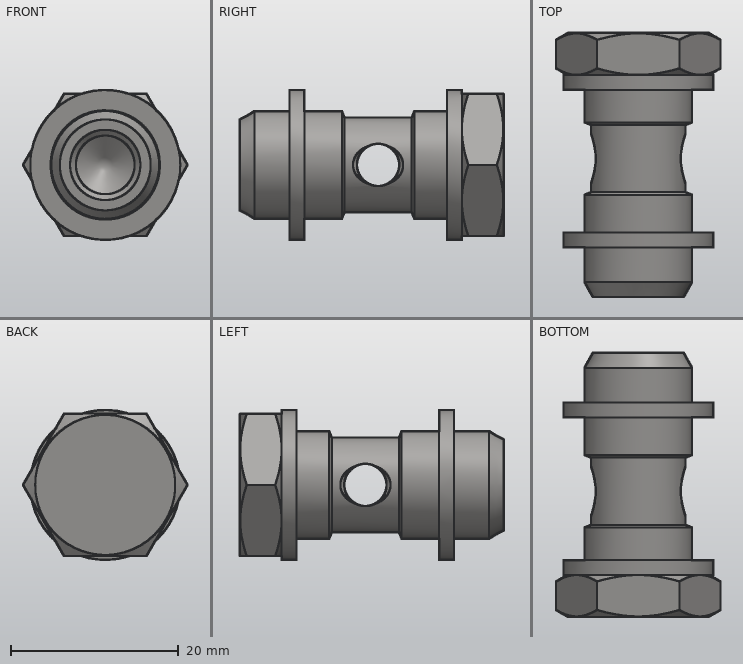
import cadquery as cq
import math

total_length = 31.5

head_height = 5.0
across_corners = 19.62
across_flats = across_corners * math.cos(math.radians(30))
head_top_diameter = 16.7
head_chamfer_angle = 30.0
seat_y = total_length - head_height

shank_diameter = 12.85
tip_diameter = 10.85
tip_chamfer_length = 1.8

waist_diameter = 11.3
waist_length = 8.0
waist_center_y = 16.5
waist_shoulder_length = 0.3

bore_diameter = 7.0
bore_mouth_diameter = 8.38
bore_mouth_depth = (bore_mouth_diameter - bore_diameter) / 2
bore_depth = 25.0
drill_point_angle = 118.0

cross_hole_diameter = 5.0
cross_hole_mouth_diameter = 6.0

washer_outer_diameter = 17.9
washer_inner_diameter = 13.05
washer_thickness = 1.8
lower_washer_y = 5.92
washer_positions = [lower_washer_y, seat_y - washer_thickness]


def revolve_about_y(points):
    """Solid of revolution about Y from (radius, y) points."""
    return cq.Workplane("XY").polyline(points).close().revolve(360, (0, 0), (0, 1))


def make_head():
    """Hexagon with corners on +X and -X, trimmed by a cone at each end."""
    hexagon = (
        cq.Workplane("XZ", origin=(0, total_length, 0))
        .polygon(6, across_corners)
        .extrude(head_height)
    )
    corner_radius = across_corners / 2
    top_radius = head_top_diameter / 2
    seat_radius = across_flats / 2
    slope = math.tan(math.radians(head_chamfer_angle))
    envelope = revolve_about_y([
        (0, seat_y),
        (seat_radius, seat_y),
        (corner_radius, seat_y + (corner_radius - seat_radius) * slope),
        (corner_radius, total_length - (corner_radius - top_radius) * slope),
        (top_radius, total_length),
        (0, total_length),
    ])
    return hexagon.intersect(envelope)


def make_shank():
    """Turned shank with a chamfered tip and a narrower waist."""
    shank_radius = shank_diameter / 2
    waist_radius = waist_diameter / 2
    waist_start = waist_center_y - waist_length / 2
    waist_end = waist_center_y + waist_length / 2
    return revolve_about_y([
        (0, 0),
        (tip_diameter / 2, 0),
        (shank_radius, tip_chamfer_length),
        (shank_radius, waist_start - waist_shoulder_length),
        (waist_radius, waist_start),
        (waist_radius, waist_end),
        (shank_radius, waist_end + waist_shoulder_length),
        (shank_radius, seat_y),
        (0, seat_y),
    ])


def make_bore():
    """Cutter for the countersunk blind bore."""
    bore_radius = bore_diameter / 2
    point_length = bore_radius / math.tan(math.radians(drill_point_angle / 2))
    return revolve_about_y([
        (0, 0),
        (bore_mouth_diameter / 2, 0),
        (bore_radius, bore_mouth_depth),
        (bore_radius, bore_depth),
        (0, bore_depth + point_length),
    ])


def make_cross_hole():
    """Cutter for the cross hole, with a 45 degree cone at each end."""
    hole_radius = cross_hole_diameter / 2
    waist_radius = waist_diameter / 2
    mouth_radius = cross_hole_mouth_diameter / 2
    cone_start = waist_radius - (mouth_radius - hole_radius)
    profile = [
        (-waist_radius, 0),
        (-waist_radius, mouth_radius),
        (-cone_start, hole_radius),
        (cone_start, hole_radius),
        (waist_radius, mouth_radius),
        (waist_radius, 0),
    ]
    return (
        cq.Workplane("XY", origin=(0, waist_center_y, 0))
        .polyline(profile)
        .close()
        .revolve(360, (0, 0), (1, 0))
    )


def make_bolt():
    return make_head().union(make_shank()).cut(make_bore()).cut(make_cross_hole())


def make_washer(start_y):
    """Flat ring from start_y towards the head, clear of the shank."""
    return (
        cq.Workplane("XZ", origin=(0, start_y, 0))
        .circle(washer_outer_diameter / 2)
        .circle(washer_inner_diameter / 2)
        .extrude(-washer_thickness)
    )


bolt = make_bolt()
washers = [make_washer(y) for y in washer_positions]

result = cq.Compound.makeCompound([bolt.val(), *[washer.val() for washer in washers]])